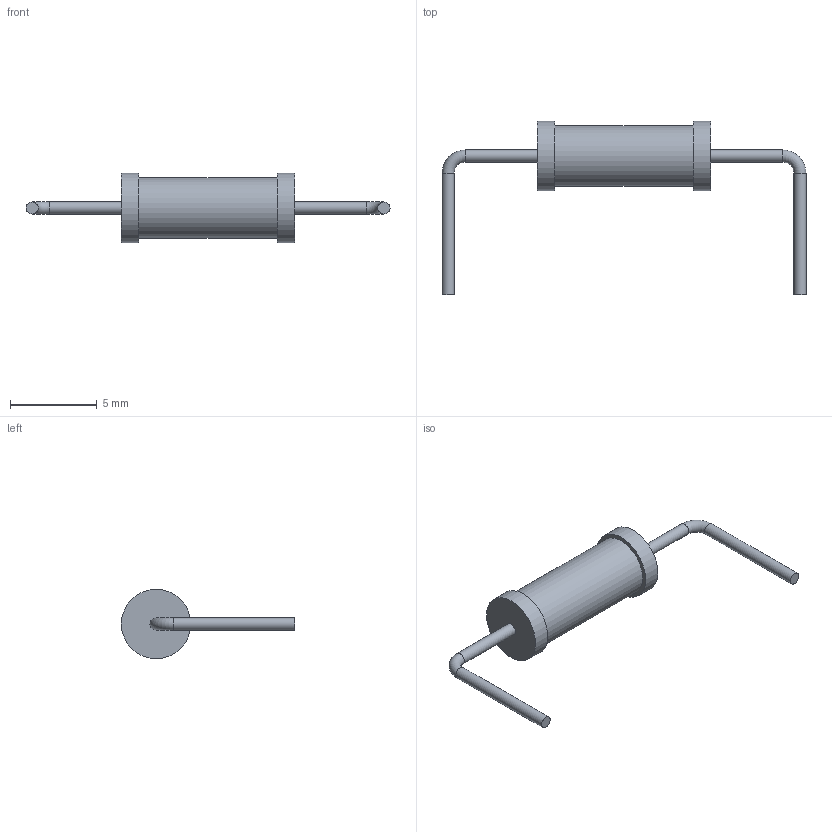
import cadquery as cq


body_length = 10.0
body_diameter = 3.5
cap_length = 1.0
cap_diameter = 4.0

lead_pitch = 20.32
lead_diameter = 0.7
bend_radius = 1.0
lead_tip_y = -8.0


def make_body():
    """Cylindrical body running the full length between the outer cap faces."""
    return cq.Workplane("YZ").circle(body_diameter / 2).extrude(body_length / 2, both=True)


def make_cap(side):
    """End cap of larger diameter; side is -1 or +1 along X."""
    outer_face = cq.Workplane("YZ").workplane(offset=side * body_length / 2)
    return outer_face.circle(cap_diameter / 2).extrude(-side * cap_length)


def make_lead(side):
    """Round wire leaving the body along X and turning towards -Y."""
    root_x = side * (body_length / 2 - cap_length / 2)
    leg_x = side * lead_pitch / 2
    bend_start_x = leg_x - side * bend_radius
    path = (
        cq.Workplane("XY")
        .moveTo(root_x, 0)
        .lineTo(bend_start_x, 0)
        .tangentArcPoint((leg_x, -bend_radius), relative=False)
        .lineTo(leg_x, lead_tip_y)
    )
    root_plane = cq.Workplane("YZ").workplane(offset=root_x)
    return root_plane.circle(lead_diameter / 2).sweep(path)


result = make_body()
for side in (-1, 1):
    result = result.union(make_cap(side)).union(make_lead(side))